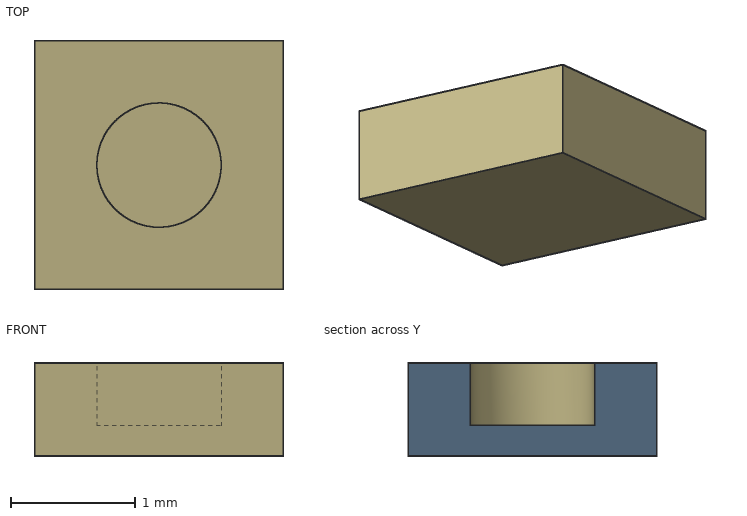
import cadquery as cq

side = 2
height = 0.75
pocket_diameter = side / 2
pocket_depth = 0.5

block = cq.Workplane("XY").box(side, side, height, centered=(True, True, False))

result = block.faces(">Z").workplane().hole(pocket_diameter, pocket_depth)